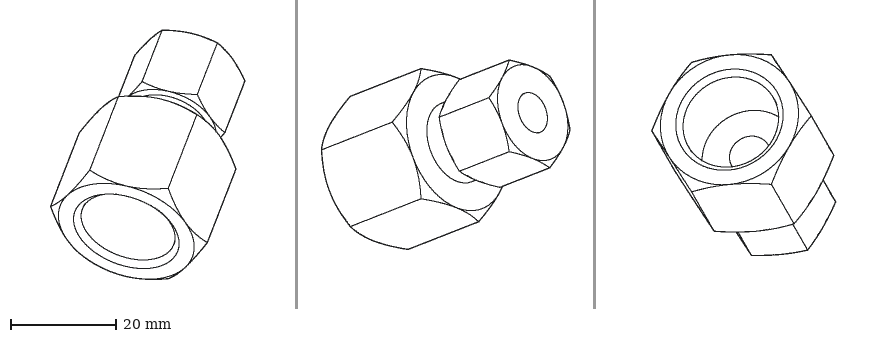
import cadquery as cq
import math

total_length = 42.9

large_flats = 27.0
large_length = 22.5
large_chamfer_angle = 40.0

small_flats = 19.0
small_length = 15.0
small_chamfer_angle = 30.0

neck_diameter = 16.0
through_diameter = 8.0
socket_diameter = 18.65
socket_mouth_diameter = 20.98
socket_mouth_depth = 1.15
socket_depth = 17.15

front = -total_length / 2
back = total_length / 2
large_back = front + large_length
small_front = back - small_length


def cylinder(diameter, start, end):
    """Round bar along Y between two stations."""
    plane = cq.Workplane("XZ", origin=(0, start, 0))
    return plane.circle(diameter / 2).extrude(start - end)


def hex_nut(flats, start, end, chamfer_angle):
    """Hex prism with flats facing +/-Z and conical chamfers on both ends."""
    corner_radius = flats / 2 / math.cos(math.radians(30))
    face_radius = flats / 2
    drop = (corner_radius - face_radius) * math.tan(math.radians(chamfer_angle))
    prism = (
        cq.Workplane("XZ", origin=(0, start, 0))
        .polygon(6, 2 * corner_radius)
        .extrude(start - end)
    )
    envelope = (
        cq.Workplane("XY")
        .moveTo(0, start)
        .lineTo(face_radius, start)
        .lineTo(corner_radius, start + drop)
        .lineTo(corner_radius, end - drop)
        .lineTo(face_radius, end)
        .lineTo(0, end)
        .close()
        .revolve(360, (0, 0, 0), (0, 1, 0))
    )
    return prism.intersect(envelope)


def stepped_bore():
    """Through hole opening into a wide socket with a tapered mouth."""
    socket = (
        cq.Workplane("XY")
        .moveTo(0, front)
        .lineTo(socket_mouth_diameter / 2, front)
        .lineTo(socket_diameter / 2, front + socket_mouth_depth)
        .lineTo(socket_diameter / 2, front + socket_depth)
        .lineTo(0, front + socket_depth)
        .close()
        .revolve(360, (0, 0, 0), (0, 1, 0))
    )
    return socket.union(cylinder(through_diameter, front, back))


large_nut = hex_nut(large_flats, front, large_back, large_chamfer_angle)
small_nut = hex_nut(small_flats, small_front, back, small_chamfer_angle)
neck = cylinder(neck_diameter, large_back, small_front)

result = large_nut.union(neck).union(small_nut).cut(stepped_bore())